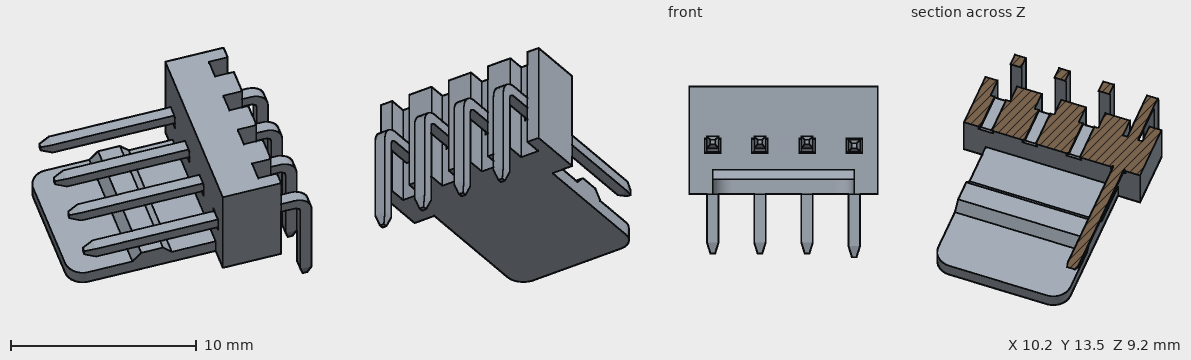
import cadquery as cq


OVERALL_LENGTH = 13.52

PIN_COUNT = 4
HOUSING_WIDTH = 10.15
PITCH = HOUSING_WIDTH / PIN_COUNT
HOUSING_DEPTH = 3.3
HOUSING_HEIGHT = 5.8
SLOT_WIDTH = 1.1
SLOT_DEPTH = 1.07

PIN_SIZE = 0.64
PIN_TIP_SIZE = 0.26
PIN_TAPER = 0.61
PIN_FRONT_REACH = 7.46
PIN_BACK_REACH = 2.03
PIN_UNDERSIDE = 2.3
PIN_FOOT_DEPTH = 3.4
BEND_OUTER_RADIUS = 1.0
RAISED_PIN_LIFT = 0.19
RAISED_PIN_FORWARD = 0.03

MOUTH_WIDTH = 0.87
MOUTH_HEIGHT = 0.81
MOUTH_DEPTH = 0.1

PLATE_WIDTH = (PIN_COUNT - 1) * PITCH
PLATE_LENGTH = OVERALL_LENGTH - PIN_BACK_REACH - HOUSING_DEPTH
PLATE_THICKNESS = 0.8
PLATE_CORNER_RADIUS = 1.0
RIDGE_START = 2.47
RIDGE_LENGTH = 2.23
RIDGE_SLOPE_RUN = 0.5
RIDGE_HEIGHT = 0.53

pin_axis_height = PIN_UNDERSIDE + PIN_SIZE / 2
first_pin_x = -(PIN_COUNT - 1) * PITCH / 2
pin_positions = [first_pin_x + i * PITCH for i in range(PIN_COUNT)]


def make_slot(x):
    """Open slot in the back of the housing, over its full height."""
    slot = cq.Workplane("XY").box(
        SLOT_WIDTH, SLOT_DEPTH, HOUSING_HEIGHT, centered=(True, False, False)
    )
    return slot.translate((x, HOUSING_DEPTH - SLOT_DEPTH, 0))


def make_pin_hole(x):
    """Square hole through the housing with a funnel mouth on the front face."""
    front = cq.Workplane("XZ", origin=(x, 0, pin_axis_height))
    bore = front.rect(PIN_SIZE, PIN_SIZE).extrude(-HOUSING_DEPTH)
    mouth = (
        front.rect(MOUTH_WIDTH, MOUTH_HEIGHT)
        .workplane(offset=-MOUTH_DEPTH)
        .rect(PIN_SIZE, PIN_SIZE)
        .loft()
    )
    return bore.union(mouth)


def make_housing():
    housing = cq.Workplane("XY").box(
        HOUSING_WIDTH, HOUSING_DEPTH, HOUSING_HEIGHT, centered=(True, False, False)
    )
    for x in pin_positions:
        housing = housing.cut(make_slot(x)).cut(make_pin_hole(x))
    return housing


def make_plate():
    """Flat tongue with rounded front corners and a sloped ridge across it."""
    plate = (
        cq.Workplane("XY")
        .box(PLATE_WIDTH, PLATE_LENGTH, PLATE_THICKNESS, centered=(True, False, False))
        .translate((0, -PLATE_LENGTH, 0))
        .edges("|Z and <Y")
        .fillet(PLATE_CORNER_RADIUS)
    )
    ridge_end = RIDGE_START + RIDGE_LENGTH
    ridge_top = PLATE_THICKNESS + RIDGE_HEIGHT
    ridge = (
        cq.Workplane("YZ")
        .moveTo(-RIDGE_START, PLATE_THICKNESS)
        .lineTo(-RIDGE_START - RIDGE_SLOPE_RUN, ridge_top)
        .lineTo(-ridge_end + RIDGE_SLOPE_RUN, ridge_top)
        .lineTo(-ridge_end, PLATE_THICKNESS)
        .close()
        .extrude(PLATE_WIDTH / 2, both=True)
    )
    return plate.union(ridge)


def make_pin_tip(plane):
    """Pyramid frustum growing along the plane's normal."""
    return (
        cq.Workplane(plane)
        .rect(PIN_SIZE, PIN_SIZE)
        .workplane(offset=PIN_TAPER)
        .rect(PIN_TIP_SIZE, PIN_TIP_SIZE)
        .loft()
    )


def make_pin():
    """Square pin at X = 0: runs back through the housing, then bends down."""
    shoulder_y = PIN_TAPER - PIN_FRONT_REACH
    shoulder_z = PIN_TAPER - PIN_FOOT_DEPTH
    back_y = HOUSING_DEPTH + PIN_BACK_REACH
    leg_axis_y = back_y - PIN_SIZE / 2
    top_z = PIN_UNDERSIDE + PIN_SIZE
    body = (
        cq.Workplane("YZ")
        .moveTo(shoulder_y, top_z)
        .lineTo(back_y, top_z)
        .lineTo(back_y, shoulder_z)
        .lineTo(back_y - PIN_SIZE, shoulder_z)
        .lineTo(back_y - PIN_SIZE, PIN_UNDERSIDE)
        .lineTo(shoulder_y, PIN_UNDERSIDE)
        .close()
        .extrude(PIN_SIZE / 2, both=True)
    )
    outer_bend = cq.selectors.NearestToPointSelector((0, back_y, top_z))
    inner_bend = cq.selectors.NearestToPointSelector((0, back_y - PIN_SIZE, PIN_UNDERSIDE))
    body = body.edges(outer_bend).fillet(BEND_OUTER_RADIUS)
    body = body.edges(inner_bend).fillet(BEND_OUTER_RADIUS - PIN_SIZE)
    front_plane = cq.Plane((0, shoulder_y, pin_axis_height), (1, 0, 0), (0, -1, 0))
    foot_plane = cq.Plane((0, leg_axis_y, shoulder_z), (1, 0, 0), (0, 0, -1))
    return body.union(make_pin_tip(front_plane)).union(make_pin_tip(foot_plane))


result = make_housing().union(make_plate())
pin = make_pin()
for x in pin_positions[:-1]:
    result = result.union(pin.translate((x, -RAISED_PIN_FORWARD, RAISED_PIN_LIFT)))
result = result.union(pin.translate((pin_positions[-1], 0, 0)))